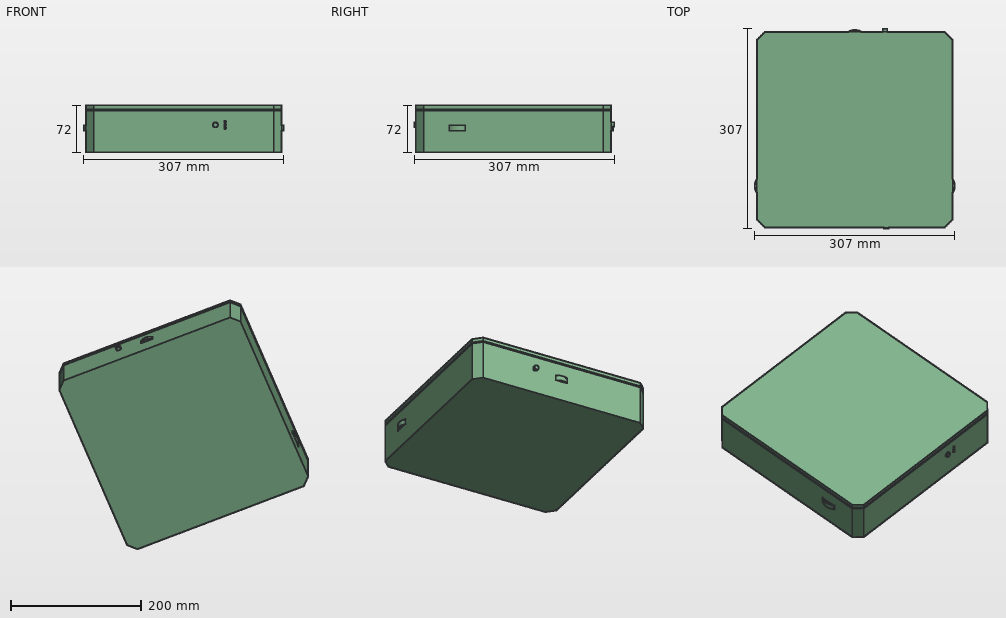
import cadquery as cq

OVERALL = 307.0
SIDE = 300.0
CORNER_CHAMFER = 12.3
TOTAL_HEIGHT = 72.0
BASE_HEIGHT = 64.0
LID_THICKNESS = 6.0
FRONT_Y = -SIDE / 2
BACK_Y = SIDE / 2

DISC_DIAMETER = 36.0
DISC_THICKNESS = 8.5
DISC_BOTTOM = 33.2
SIDE_DISC_REACH = (OVERALL - SIDE) / 2
SIDE_DISC_Y = -86.3
BACK_DISC_REACH = 3.0
BACK_DISC_X = 0.0

SLOT_WIDTH = 24.5
SLOT_DEPTH = 3.0

STUB_DIAMETER = 7.5
STUB_REACH = 5.0
STUB_X = 46.5
STUB_Z = 42.7

BUTTON_DIAMETER = 7.5
BUTTON_REACH = OVERALL - SIDE - STUB_REACH
BUTTON_HOLE_DIAMETER = 8.0
BUTTON_HOLE_DEPTH = 3.0
BUTTON_X = 48.5
BUTTON_Z = 42.0

INDICATOR_DIAMETER = 3.0
INDICATOR_DEPTH = 3.0
INDICATOR_PITCH = 5.0
INDICATOR_COUNT = 3
INDICATOR_X = 63.2
INDICATOR_MIDDLE_Z = BUTTON_Z


def case_plate(bottom, height):
    """Square plate with chamfered vertical corners."""
    plate = cq.Workplane("XY").workplane(offset=bottom).rect(SIDE, SIDE).extrude(height)
    return plate.edges("|Z").chamfer(CORNER_CHAMFER)


def rim_disc(x, y):
    """Flat disc with a vertical axis at (x, y)."""
    disc = cq.Workplane("XY", origin=(x, y, DISC_BOTTOM)).circle(DISC_DIAMETER / 2)
    return disc.extrude(DISC_THICKNESS)


def rod_along_y(diameter, x, z, y_start, length):
    """Round rod that runs from y_start toward +Y."""
    return cq.Workplane("XZ", origin=(x, y_start, z)).circle(diameter / 2).extrude(-length)


def add_side_disc(base, side):
    """Cut the slot in one side wall (side is -1 or 1) and add the disc that fills it."""
    slot = cq.Workplane("XY", origin=(side * SIDE / 2, SIDE_DISC_Y, DISC_BOTTOM))
    slot = slot.rect(2 * SLOT_DEPTH, SLOT_WIDTH).extrude(DISC_THICKNESS)
    disc_x = side * (SIDE / 2 + SIDE_DISC_REACH - DISC_DIAMETER / 2)
    return base.cut(slot).union(rim_disc(disc_x, SIDE_DISC_Y))


def make_base():
    base = case_plate(0, BASE_HEIGHT)

    for side in (-1, 1):
        base = add_side_disc(base, side)
    back_disc_y = BACK_Y + BACK_DISC_REACH - DISC_DIAMETER / 2
    base = base.union(rim_disc(BACK_DISC_X, back_disc_y))

    base = base.union(rod_along_y(STUB_DIAMETER, STUB_X, STUB_Z, BACK_Y, STUB_REACH))

    base = base.cut(rod_along_y(BUTTON_HOLE_DIAMETER, BUTTON_X, BUTTON_Z, FRONT_Y, BUTTON_HOLE_DEPTH))

    for index in range(INDICATOR_COUNT):
        z = INDICATOR_MIDDLE_Z + (index - (INDICATOR_COUNT - 1) / 2) * INDICATOR_PITCH
        base = base.cut(rod_along_y(INDICATOR_DIAMETER, INDICATOR_X, z, FRONT_Y, INDICATOR_DEPTH))
    return base


def make_lid():
    return case_plate(TOTAL_HEIGHT - LID_THICKNESS, LID_THICKNESS)


def make_button():
    length = BUTTON_REACH + BUTTON_HOLE_DEPTH
    return rod_along_y(BUTTON_DIAMETER, BUTTON_X, BUTTON_Z, FRONT_Y - BUTTON_REACH, length)


base = make_base()
lid = make_lid()
button = make_button()
result = cq.Compound.makeCompound([base.val(), lid.val(), button.val()])